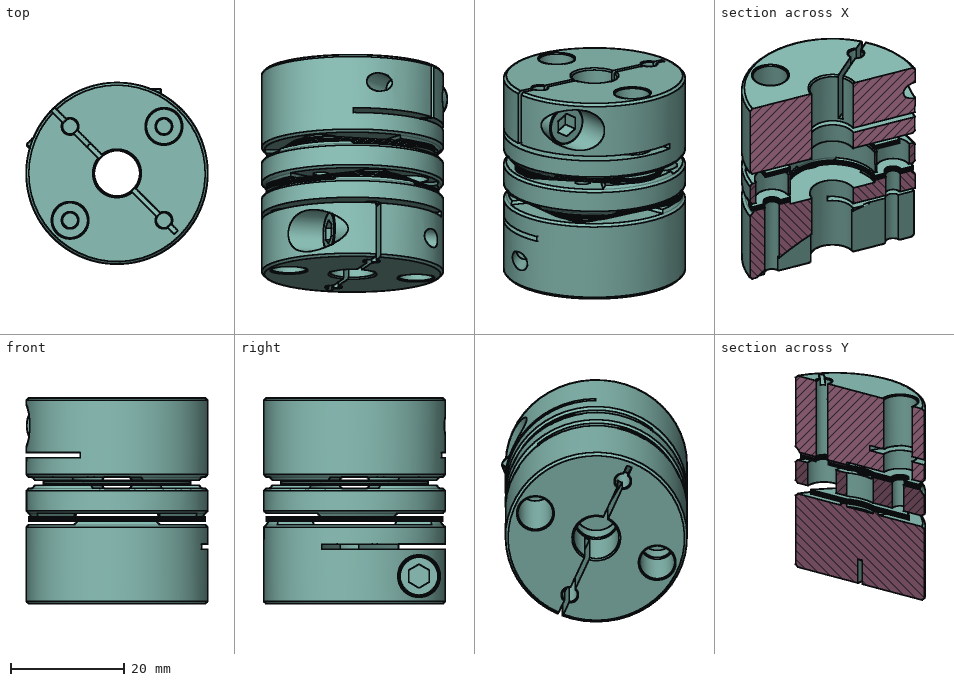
import cadquery as cq
import math


hub_height = 13.98
spacer_height = 4.43
pad_height = 0.55
disc_thickness = 0.3
discs_per_pack = 3
pack_height = discs_per_pack * disc_thickness
joint_height = pack_height + 2 * pad_height
total_height = 2 * (hub_height + joint_height) + spacer_height
middle_z = total_height / 2
lower_pack_z = hub_height + pad_height
upper_pack_z = total_height - lower_pack_z - pack_height
hub_face_z = total_height - hub_height
spacer_bottom_z = middle_z - spacer_height / 2
spacer_top_z = middle_z + spacer_height / 2

outer_radius = 16.0
rim_chamfer = 0.47
chamfer_angle = 45
bore_radius = 4.0
bore_chamfer = 0.3
ring_radius = 8.15

bolt_circle_radius = 11.7
thread_radius = 1.35
thread_chamfer = 0.18
disc_hole_radius = thread_radius + thread_chamfer
clearance_radius = 3.1
clearance_chamfer = 0.2

upper_slit_angle = 135
lower_slit_angle = 90
quarter_turn = 90
half_turn = 180
eighth_turn = 45

pad_half_angle = 29.1
pad_short_half_angle = 25.0
pad_side_setback = 0.45
pad_rim_setback = 0.35
pad_base_radius = outer_radius - rim_chamfer
pad_seat_radius = pad_base_radius - pad_rim_setback

disc_half_width = 12.95
disc_flat_half_length = 5.95
disc_corner_reach = 15.57
disc_corner_angles = [eighth_turn + corner * quarter_turn for corner in range(4)]

slit_width = 0.9
slit_blind_end = 14.7
slit_deepest = 10.45
slit_center_offset = 15.97
slot_depth = 9.65
slot_width = 0.87
slot_end_radius = 58.08
slot_overrun = 1.13
slot_turn = 25

screw_offset = 11.35
screw_depth = 4.9
head_seat = 3.75
head_end = 7.8
head_radius = 3.52
head_chamfer = 0.18
counterbore_radius = 3.75
socket_sides = 6
socket_across_flats = 3.63
socket_depth = 3.0
tip_hole_radius = 1.65
tip_hole_floor = 5.45


def polar(radius, angle):
    """Point at a radius and an angle in degrees."""
    return (radius * math.cos(math.radians(angle)), radius * math.sin(math.radians(angle)))


def bolt_pair(angle):
    """Two bolt stations on opposite sides of the axis."""
    return [polar(bolt_circle_radius, angle), polar(bolt_circle_radius, angle + half_turn)]


def round_blank(height, bottom):
    """Cylinder with both rims chamfered."""
    blank = cq.Workplane(origin=(0, 0, bottom)).circle(outer_radius).extrude(height)
    return blank.edges().chamfer(rim_chamfer)


def plain_holes(centers, radius, bottom, top):
    """Cutter for straight vertical holes."""
    return cq.Workplane(origin=(0, 0, bottom)).pushPoints(centers).circle(radius).extrude(top - bottom)


def chamfered_holes(centers, radius, chamfer, bottom, top):
    """Cutter for vertical holes that are chamfered at the top."""
    countersink = (
        cq.Workplane(origin=(0, 0, top))
        .pushPoints(centers)
        .circle(radius + chamfer)
        .extrude(-chamfer, taper=chamfer_angle)
    )
    return plain_holes(centers, radius, bottom, top).union(countersink)


def sector_outline(outer, side_setback, start_angle, end_angle, z):
    """Annular sector around +X, with both sides set back in parallel from the given angles."""
    outer_turn = math.degrees(math.asin(side_setback / outer))
    inner_turn = math.degrees(math.asin(side_setback / ring_radius))
    return (
        cq.Workplane(origin=(0, 0, z))
        .moveTo(*polar(ring_radius, start_angle + inner_turn))
        .lineTo(*polar(outer, start_angle + outer_turn))
        .threePointArc((outer, 0), polar(outer, end_angle - outer_turn))
        .lineTo(*polar(ring_radius, end_angle - inner_turn))
        .threePointArc((ring_radius, 0), polar(ring_radius, start_angle + inner_turn))
        .close()
        .val()
    )


def pad(direction, base_z, seat_z, start_angle=-pad_half_angle, end_angle=pad_half_angle):
    """Raised seat for a disc pack, between two angles measured from its direction."""
    base = sector_outline(pad_base_radius, 0, start_angle, end_angle, base_z)
    seat = sector_outline(pad_seat_radius, pad_side_setback, start_angle, end_angle, seat_z)
    body = cq.Workplane(cq.Solid.makeLoft([base, seat], True))
    return body.rotate((0, 0, 0), (0, 0, 1), direction)




def screw_plane(y):
    """Plane across the clamp screw's axis at a Y position, facing +Y."""
    axis_point = (screw_offset, y, total_height - screw_depth)
    return cq.Workplane(cq.Plane(origin=axis_point, xDir=(0, 0, 1), normal=(0, 1, 0)))


def screw_cylinder(radius, start, end):
    """Cylinder on the clamp screw's axis between two Y positions."""
    return screw_plane(start).circle(radius).extrude(end - start)


def slit_cutter():
    """Slit through the bore, with a floor that rises in an arc to the blind end."""
    floor_run = slit_center_offset + slit_blind_end
    floor_radius = (floor_run**2 + slit_deepest**2) / (2 * slit_deepest)
    floor_center = (slit_center_offset, total_height - slit_deepest + floor_radius)
    cutter = cq.Workplane("XZ").center(*floor_center).circle(floor_radius)
    return cutter.extrude(slit_width / 2, both=True)


def slot_cutter():
    """Flat slot across the bore, with an arc-shaped end."""
    slot_floor_z = total_height - slot_depth - slot_width
    slot_center = polar(slot_end_radius - slot_overrun, slot_turn)
    plane = cq.Workplane(origin=(*slot_center, slot_floor_z))
    return plane.circle(slot_end_radius).extrude(slot_width)


def screw_head():
    """Socket head of the clamp screw."""
    head = screw_cylinder(head_radius, head_seat, head_end).faces(">Y").edges().chamfer(head_chamfer)
    socket_across_corners = socket_across_flats / math.cos(math.pi / socket_sides)
    socket = screw_plane(head_end).polygon(socket_sides, socket_across_corners).extrude(-socket_depth)
    return head.cut(socket)


def upper_hub():
    """Clamping hub of the upper end, with its clamp screw head."""
    seat_z = hub_face_z - pad_height
    threads = bolt_pair(0)
    clearances = bolt_pair(quarter_turn)
    hub = round_blank(hub_height, hub_face_z)
    hub = hub.union(pad(0, hub_face_z, seat_z)).union(pad(half_turn, hub_face_z, seat_z))
    hub = hub.cut(chamfered_holes([(0, 0)], bore_radius, bore_chamfer, hub_face_z, total_height))
    hub = hub.cut(slit_cutter()).cut(slot_cutter())
    hub = hub.cut(screw_cylinder(counterbore_radius, head_seat, outer_radius))
    hub = hub.cut(screw_cylinder(tip_hole_radius, -outer_radius, -tip_hole_floor))
    hub = hub.union(screw_head())
    hub = hub.cut(chamfered_holes(threads, thread_radius, thread_chamfer, seat_z, total_height))
    hub = hub.cut(
        chamfered_holes(clearances, clearance_radius, clearance_chamfer, hub_face_z, total_height)
    )
    return hub.rotate((0, 0, 0), (0, 0, 1), upper_slit_angle)


def lower_hub():
    """The same hub turned end for end about a horizontal axis midway between the two slits."""
    flip_x, flip_y = polar(0.35, (upper_slit_angle + lower_slit_angle) / 2)
    return upper_hub().rotate((0, 0, middle_z), (flip_x, flip_y, middle_z), half_turn)


def spacer():
    """Middle ring with a pair of pads on each face, a quarter turn from the pads of the hubs."""
    upper_direction = upper_slit_angle + quarter_turn
    lower_direction = lower_slit_angle + quarter_turn
    upper_seat_z = spacer_top_z + pad_height
    lower_seat_z = spacer_bottom_z - pad_height
    ring = round_blank(spacer_height, spacer_bottom_z)
    for direction in (upper_direction, upper_direction + half_turn):
        ring = ring.union(pad(direction, spacer_top_z, upper_seat_z))
    ring = ring.union(pad(lower_direction, spacer_bottom_z, lower_seat_z, end_angle=pad_short_half_angle))
    ring = ring.union(
        pad(
            lower_direction + half_turn,
            spacer_bottom_z,
            lower_seat_z,
            start_angle=-pad_short_half_angle,
        )
    )
    threads = bolt_pair(upper_direction) + bolt_pair(lower_direction)
    clearances = bolt_pair(upper_slit_angle) + bolt_pair(lower_slit_angle)
    ring = ring.cut(plain_holes([(0, 0)], ring_radius, spacer_bottom_z, spacer_top_z))
    ring = ring.cut(plain_holes(threads, thread_radius, lower_seat_z, upper_seat_z))
    return ring.cut(plain_holes(clearances, clearance_radius, spacer_bottom_z, spacer_top_z))


def disc(corner_angle, bottom):
    """Flexible disc with a bolt hole in every corner, one corner pointing at corner_angle."""
    holes = [polar(bolt_circle_radius, angle) for angle in disc_corner_angles]
    flat_end_radius = math.hypot(disc_half_width, disc_flat_half_length)
    flat_end_angle = math.degrees(math.atan2(disc_flat_half_length, disc_half_width))
    outline = cq.Workplane(origin=(0, 0, bottom)).moveTo(disc_half_width, -disc_flat_half_length)
    for angle in disc_corner_angles:
        flat_end = polar(flat_end_radius, angle - eighth_turn + flat_end_angle)
        next_flat_start = polar(flat_end_radius, angle + eighth_turn - flat_end_angle)
        outline = outline.lineTo(*flat_end)
        outline = outline.threePointArc(polar(disc_corner_reach, angle), next_flat_start)
    plate = outline.close().extrude(disc_thickness)
    top = bottom + disc_thickness
    plate = plate.cut(plain_holes([(0, 0)], ring_radius, bottom, top))
    plate = plate.cut(plain_holes(holes, disc_hole_radius, bottom, top))
    return plate.rotate((0, 0, 0), (0, 0, 1), corner_angle - eighth_turn)


def disc_pack(corner_angle, bottom):
    """Solids of the stacked discs of one pack."""
    return [disc(corner_angle, bottom + layer * disc_thickness).val() for layer in range(discs_per_pack)]


result = cq.Compound.makeCompound(
    [
        upper_hub().val(),
        lower_hub().val(),
        spacer().val(),
        *disc_pack(upper_slit_angle, upper_pack_z),
        *disc_pack(lower_slit_angle, lower_pack_z),
    ]
)